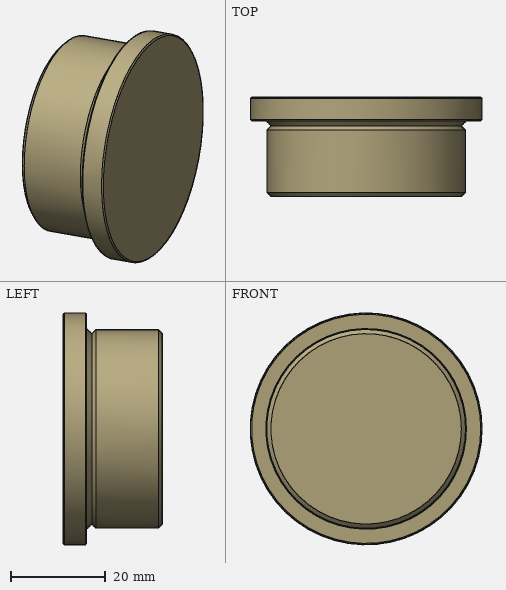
import cadquery as cq

flange_diameter = 49.0
plug_diameter = 42.0
total_length = 21.0
flange_thickness = 5.0
flange_chamfer = 0.3
plug_chamfer = 0.9
groove_flange_side_width = 1.1

flange_radius = flange_diameter / 2
plug_radius = plug_diameter / 2
plug_length = total_length - flange_thickness

groove_radius = plug_radius - plug_chamfer
groove_y = plug_length - groove_flange_side_width
groove_start_y = groove_y - plug_chamfer
groove_flange_radius = groove_radius + groove_flange_side_width

profile = (
    cq.Workplane("XY")
    .moveTo(0, 0)
    .lineTo(plug_radius - plug_chamfer, 0)
    .lineTo(plug_radius, plug_chamfer)
    .lineTo(plug_radius, groove_start_y)
    .lineTo(groove_radius, groove_y)
    .lineTo(groove_flange_radius, plug_length)
    .lineTo(flange_radius - flange_chamfer, plug_length)
    .lineTo(flange_radius, plug_length + flange_chamfer)
    .lineTo(flange_radius, total_length - flange_chamfer)
    .lineTo(flange_radius - flange_chamfer, total_length)
    .lineTo(0, total_length)
    .close()
)

result = profile.revolve(360, (0, 0, 0), (0, 1, 0))